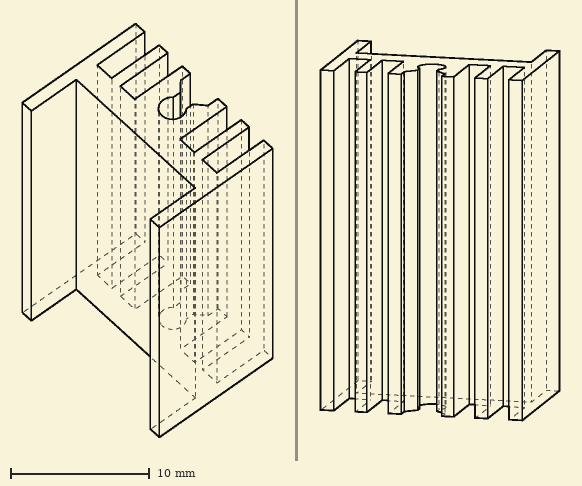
import cadquery as cq

width = 15.0
depth = 10.85
height = 25.0

wall = 1.0
web_front_depth = 6.55

slot_width = 1.58
left_slot_depth = 4.55
right_slot_depth = 4.48
left_fin = 0.95
right_fin = 0.88

mouth_width = 3.0
mouth_depth = 0.95
neck_width = 1.4
neck_start_depth = 1.68
bore_radius = 1.0
bore_depth = 3.05

left = -width / 2
right = width / 2
back = depth / 2
front = -depth / 2


def block(x_start, x_end, y_start, y_end):
    """Full-height rectangular block between the given X and Y limits."""
    return cq.Workplane("XY").box(
        x_end - x_start, y_end - y_start, height, centered=False
    ).translate((x_start, y_start, 0))


def keyhole():
    """Flared mouth, straight neck and round bore, open at the fin tips."""
    half_mouth = mouth_width / 2
    half_neck = neck_width / 2
    bore_y = back - bore_depth
    mouth_y = back - mouth_depth
    neck_y = back - neck_start_depth
    throat = (
        cq.Workplane("XY")
        .polyline([
            (-half_mouth, back),
            (-half_mouth, mouth_y),
            (-half_neck, neck_y),
            (-half_neck, bore_y),
            (half_neck, bore_y),
            (half_neck, neck_y),
            (half_mouth, mouth_y),
            (half_mouth, back),
        ])
        .close()
        .extrude(height)
    )
    bore = cq.Workplane("XY").center(0, bore_y).circle(bore_radius).extrude(height)
    return throat.union(bore)


body = block(left, right, front, back)

body = body.cut(block(left + wall, right - wall, front, back - web_front_depth))

for index in range(2):
    left_start = left + wall + index * (slot_width + left_fin)
    body = body.cut(block(left_start, left_start + slot_width, back - left_slot_depth, back))
    right_end = right - wall - index * (slot_width + right_fin)
    body = body.cut(block(right_end - slot_width, right_end, back - right_slot_depth, back))

result = body.cut(keyhole())